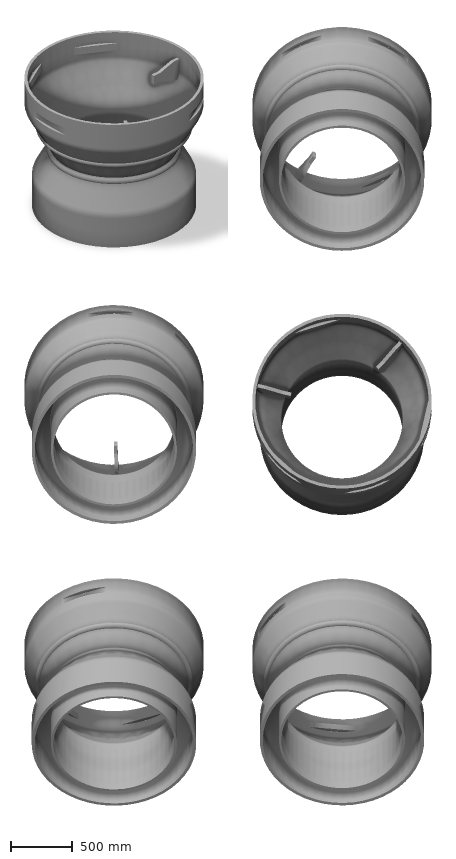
import cadquery as cq
import math

total_height = 1200.0
wall = 25.0
rim_radius = 725.0
rim_bore_radius = rim_radius - wall
base_radius = 1330.0 / 2
base_bore_radius = base_radius - wall
cone_angle = math.radians(28.5)
wall_width = wall / math.cos(cone_angle)
wall_rise = wall * math.sin(cone_angle)

base_top = 277.0
base_bend_top = 325.0
neck_bead_bottom = 528.0
neck_bead_top = 574.0
collar_bead_bottom = 730.0
collar_bead_top = 773.0
rim_bend_bottom = 930.0
rim_bottom = 970.0
neck_bead_bottom_radius = 544.0
neck_bead_mid_radius, neck_bead_mid_height = 548.0, 547.0
neck_bead_top_radius = 522.0
collar_bead_bottom_radius = 602.0
collar_bead_mid_radius, collar_bead_mid_height = 635.0, 757.0
collar_bead_top_radius = 630.0

tube_bore_radius = 980.0 / 2
tube_outer_radius = 1020.0 / 2
throat_bend_bottom = 551.0
throat_bend_top = 574.0

crease_radius = 596.0
crease_height = 757.0

plate_angles = (0, 120, 180, 240)
plate_outer_distance = 699.0
plate_thickness = 25.0
plate_width = 380.0
plate_bottom = 1032.0
plate_height = 67.0

bracket_angles = (60, -60)
bracket_thickness = 29.0
bracket_tip_radius = 422.0
bracket_tip_bottom = 969.0
bracket_tip_top = 1050.0
bracket_root_bottom = 910.0
bracket_root_top = 1096.0
bracket_slope_start = 490.0
bracket_slope_end = 635.0


def bend_points(straight_radius, straight_height, cone_height, lean=1):
    """Return the middle and end points of the bend from a straight wall into a cone.

    The cone narrows away from the straight wall, or widens when lean is -1.
    """
    bend_radius = abs(cone_height - straight_height) / math.sin(cone_angle)
    direction = math.copysign(1, cone_height - straight_height)
    points = []
    for angle in (cone_angle / 2, cone_angle):
        points.append((
            straight_radius - lean * bend_radius * (1 - math.cos(angle)),
            straight_height + direction * bend_radius * math.sin(angle),
        ))
    return points


base_bend_mid, base_bend_end = bend_points(base_radius, base_top, base_bend_top)
rim_bend_mid, rim_bend_end = bend_points(rim_radius, rim_bottom, rim_bend_bottom)
base_bore_mid, base_bore_end = bend_points(base_bore_radius, base_top, base_bend_top - wall_rise)
rim_bore_mid, rim_bore_end = bend_points(rim_bore_radius, rim_bottom, rim_bend_bottom + wall_rise)

throat_bend_mid, throat_bend_end = bend_points(tube_bore_radius, throat_bend_bottom, throat_bend_top, -1)


def make_envelope():
    """Solid shape bounded by the outside of the housing."""
    return (
        cq.Workplane("XZ")
        .moveTo(0, 0)
        .lineTo(base_radius, 0)
        .lineTo(base_radius, base_top)
        .threePointArc(base_bend_mid, base_bend_end)
        .lineTo(neck_bead_bottom_radius, neck_bead_bottom)
        .threePointArc(
            (neck_bead_mid_radius, neck_bead_mid_height),
            (neck_bead_top_radius, neck_bead_top),
        )
        .lineTo(collar_bead_bottom_radius, collar_bead_bottom)
        .threePointArc(
            (collar_bead_mid_radius, collar_bead_mid_height),
            (collar_bead_top_radius, collar_bead_top),
        )
        .lineTo(*rim_bend_end)
        .threePointArc(rim_bend_mid, (rim_radius, rim_bottom))
        .lineTo(rim_radius, total_height)
        .lineTo(0, total_height)
        .close()
        .revolve(360, (0, 0), (0, 1))
    )


def make_cavity():
    """Solid shape of the open space down the middle of the housing."""
    return (
        cq.Workplane("XZ")
        .moveTo(0, 0)
        .lineTo(tube_bore_radius, 0)
        .lineTo(tube_bore_radius, throat_bend_bottom)
        .threePointArc(throat_bend_mid, throat_bend_end)
        .lineTo(crease_radius, crease_height)
        .lineTo(*rim_bore_end)
        .threePointArc(rim_bore_mid, (rim_bore_radius, rim_bottom))
        .lineTo(rim_bore_radius, total_height)
        .lineTo(0, total_height)
        .close()
        .revolve(360, (0, 0), (0, 1))
    )


def make_base_gap():
    """Solid shape of the ring-shaped space between the inner tube and the base wall."""
    return (
        cq.Workplane("XZ")
        .moveTo(tube_outer_radius, 0)
        .lineTo(base_bore_radius, 0)
        .lineTo(base_bore_radius, base_top)
        .threePointArc(base_bore_mid, base_bore_end)
        .lineTo(neck_bead_bottom_radius - wall_width, neck_bead_bottom)
        .lineTo(tube_outer_radius, neck_bead_bottom)
        .close()
        .revolve(360, (0, 0), (0, 1))
    )


def make_plate_block(angle, depth):
    """Block as wide and high as a plate, reaching outward from the plate's inner face."""
    inner_distance = plate_outer_distance - plate_thickness
    return (
        cq.Workplane("XY")
        .box(depth, plate_width, plate_height, centered=(False, True, False))
        .translate((inner_distance, 0, plate_bottom))
        .rotate((0, 0, 0), (0, 0, 1), angle)
    )


def make_plate(angle):
    return make_plate_block(angle, plate_thickness)


def make_housing(cavity):
    slot_depth = rim_radius - plate_outer_distance + 2 * plate_thickness
    housing = make_envelope().cut(cavity).cut(make_base_gap())
    for angle in plate_angles:
        housing = housing.cut(make_plate_block(angle, slot_depth))
    return housing


def make_bracket(angle, cavity):
    """Stepped radial bracket whose outer edge follows the inside of the housing."""
    outline = [
        (bracket_tip_radius, bracket_tip_bottom),
        (bracket_slope_start, bracket_tip_bottom),
        (bracket_slope_end, bracket_root_bottom),
        (rim_radius, bracket_root_bottom),
        (rim_radius, bracket_root_top),
        (bracket_slope_end, bracket_root_top),
        (bracket_slope_start, bracket_tip_top),
        (bracket_tip_radius, bracket_tip_top),
    ]
    return (
        cq.Workplane("XZ")
        .polyline(outline)
        .close()
        .extrude(bracket_thickness / 2, both=True)
        .rotate((0, 0, 0), (0, 0, 1), angle)
        .intersect(cavity)
    )


cavity = make_cavity()
housing = make_housing(cavity)
plates = [make_plate(angle) for angle in plate_angles]
brackets = [make_bracket(angle, cavity) for angle in bracket_angles]

result = cq.Compound.makeCompound([
    housing.val(),
    *[plate.val() for plate in plates],
    *[bracket.val() for bracket in brackets],
])